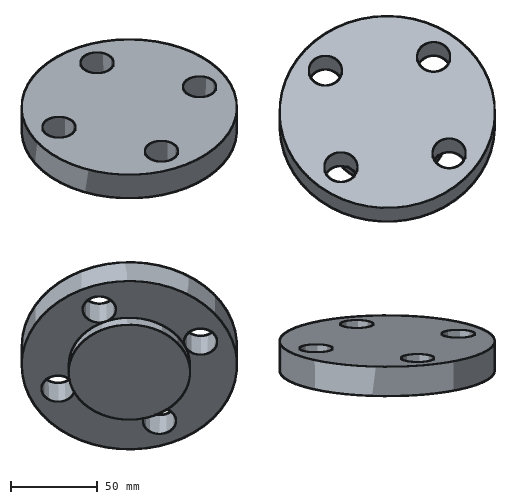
import cadquery as cq

flange_diameter = 123.9
total_height = 23.9
raised_face_diameter = 69.9
raised_face_height = 6.5
plate_thickness = total_height - raised_face_height

bolt_hole_diameter = 19.1
bolt_circle_diameter = 89.0
bolt_hole_count = 4


def make_raised_face():
    """Disc standing on Z = 0, below the plate."""
    return cq.Workplane("XY").circle(raised_face_diameter / 2).extrude(raised_face_height)


def make_plate():
    """Main disc, resting on the raised face."""
    return (
        cq.Workplane("XY")
        .workplane(offset=raised_face_height)
        .circle(flange_diameter / 2)
        .extrude(plate_thickness)
    )


def make_bolt_holes():
    """Cylinders through the full height, the first one on the +X axis."""
    return (
        cq.Workplane("XY")
        .polarArray(bolt_circle_diameter / 2, 0, 360, bolt_hole_count)
        .circle(bolt_hole_diameter / 2)
        .extrude(total_height)
    )


result = make_plate().union(make_raised_face()).cut(make_bolt_holes())